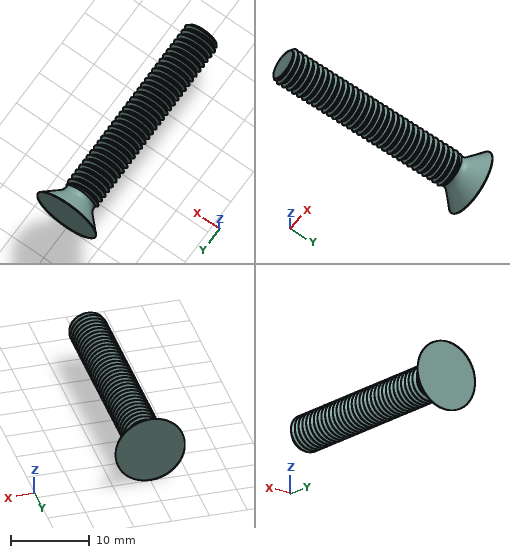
import cadquery as cq
import math

length = 30.0
major_radius = 2.5
pitch = 0.8

head_radius = 4.6
rim_height = 0.1
cone_end_radius = 2.6
cone_angle = math.radians(45)

flank_angle = math.radians(30)
triangle_height = pitch * math.cos(flank_angle)
thread_depth = 5 / 8 * triangle_height
minor_radius = major_radius - thread_depth
pitch_radius = major_radius - 3 / 8 * triangle_height
root_width = pitch / 4

neck_radius = pitch_radius
full_thread_start = 3.4
run_in_length = major_radius - neck_radius
neck_end = full_thread_start - run_in_length

tip_chamfer = pitch / 2
tip_radius = major_radius - tip_chamfer
trim_radius = 1.4 * major_radius

first_groove_depth = 3.5
lead_turns = 2
turns_per_cut = 9
groove_clearance = 0.03
stock_overrun = 4 * pitch


def turned(outline):
    """Solid of revolution of a closed XY outline about the Y axis."""
    return outline.close().revolve(360, (0, 0, 0), (0, 1, 0))


def make_head_and_neck():
    """Head, neck fillet and neck as one turned body."""
    cone_end = rim_height + head_radius - cone_end_radius
    fillet_radius = (cone_end_radius - neck_radius) / (1 - math.cos(cone_angle))
    fillet_end = cone_end + fillet_radius * math.sin(cone_angle)
    half_angle = cone_angle / 2
    fillet_middle = (
        neck_radius + fillet_radius * (1 - math.cos(half_angle)),
        -fillet_end + fillet_radius * math.sin(half_angle),
    )
    return turned(
        cq.Workplane("XY")
        .lineTo(head_radius, 0)
        .lineTo(head_radius, -rim_height)
        .lineTo(cone_end_radius, -cone_end)
        .threePointArc(fillet_middle, (neck_radius, -fillet_end))
        .lineTo(neck_radius, -neck_end)
        .lineTo(0, -neck_end)
    )


def make_shank_stock():
    """Plain shank with the run-in cone, longer than the screw so the groove leaves it cleanly."""
    stock_end = length + stock_overrun
    return turned(
        cq.Workplane("XY")
        .moveTo(0, -neck_end)
        .lineTo(neck_radius, -neck_end)
        .lineTo(major_radius, -full_thread_start)
        .lineTo(major_radius, -stock_end)
        .lineTo(0, -stock_end)
    )


def make_tip_limit():
    """Turned body that trims the threaded shank to length and chamfers its tip."""
    return turned(
        cq.Workplane("XY")
        .lineTo(trim_radius, 0)
        .lineTo(trim_radius, -length + trim_radius - tip_radius)
        .lineTo(tip_radius, -length)
        .lineTo(0, -length)
    )


def make_groove(start_depth):
    """Right-hand helical groove of turns_per_cut turns, starting at start_depth on the +X side."""
    outer_radius = major_radius + groove_clearance
    half_root = root_width / 2
    half_mouth = half_root + (outer_radius - minor_radius) * math.tan(flank_angle)
    helix = cq.Wire.makeHelix(pitch, turns_per_cut * pitch, minor_radius)
    groove = (
        cq.Workplane("XZ")
        .moveTo(minor_radius, -half_root)
        .lineTo(outer_radius, -half_mouth)
        .lineTo(outer_radius, half_mouth)
        .lineTo(minor_radius, half_root)
        .close()
        .sweep(cq.Workplane(obj=helix), isFrenet=True)
    )
    return groove.rotate((0, 0, 0), (1, 0, 0), 90).translate((0, -start_depth, 0))


def make_threaded_shank():
    """Shank with the helical groove cut along it and the tip chamfered."""
    shank = make_shank_stock()
    groove_start = first_groove_depth - lead_turns * pitch
    cut_length = turns_per_cut * pitch
    cut_count = math.ceil((length + pitch - groove_start) / cut_length)
    for index in range(cut_count):
        shank = shank.cut(make_groove(groove_start + index * cut_length))
    return shank.intersect(make_tip_limit())


result = make_threaded_shank().union(make_head_and_neck()).solids()